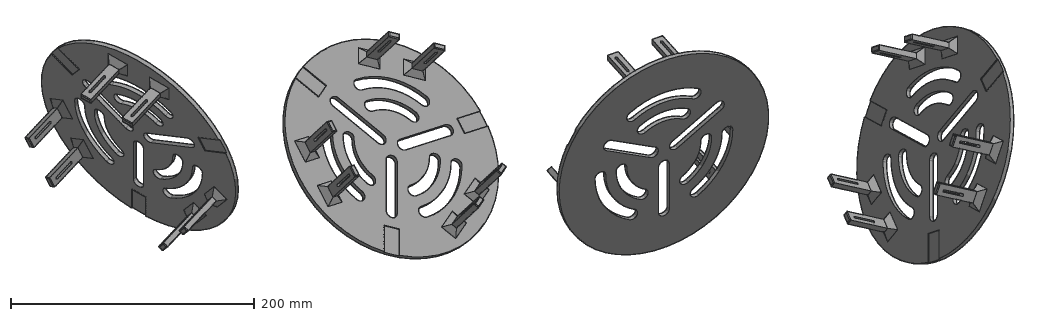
import cadquery as cq
import math

plate_radius = 99.0
plate_thickness = 4.0
sector_angles = (0, 120, 240)

vent_width = 10.0
arc_slot_radii = (40.0, 60.0)
arc_slot_half_angle = math.radians(30)
spoke_inner_end = 7.0
spoke_outer_end = max(arc_slot_radii) + vent_width / 2

recess_width = 14.0
recess_inner_end = 74.0
recess_depth = 1.0

post_length = 45.0
post_width = 10.0
post_thickness = 5.0
post_offset = 21.0
post_distance = 78.6
tip_chamfer = 0.8

foot_width = 20.0
foot_thickness = 15.0
foot_height = 5.1

slit_width = 2.0
slit_shift = 0.4
slit_start = 17.2
slit_length = 21.5


def front_plane(x=0, z=0):
    """Workplane on the front face: local x is +X, local y is +Z, normal is -Y."""
    return cq.Workplane("XZ", origin=(x, 0, z))


def around_axis(shape, angle):
    """Turn a shape about the axis of the plate."""
    return shape.rotate((0, 0, 0), (0, 1, 0), angle)


def arc_slot(radius):
    """Cutter for an arc slot centred on the +Z sector axis."""

    def polar(distance, angle):
        return (distance * math.sin(angle), distance * math.cos(angle))

    outer = radius + vent_width / 2
    inner = radius - vent_width / 2
    left, right = -arc_slot_half_angle, arc_slot_half_angle
    return (
        front_plane()
        .moveTo(*polar(outer, left))
        .threePointArc((0, outer), polar(outer, right))
        .tangentArcPoint(polar(inner, right), relative=False)
        .threePointArc((0, inner), polar(inner, left))
        .tangentArcPoint(polar(outer, left), relative=False)
        .close()
        .extrude(-plate_thickness)
    )


def spoke_slot():
    """Cutter for the straight slot running down from the centre."""
    middle = (spoke_inner_end + spoke_outer_end) / 2
    length = spoke_outer_end - spoke_inner_end
    return front_plane(z=-middle).slot2D(length, vent_width, 90).extrude(-plate_thickness)


def rim_recess():
    """Cutter for the recess below the straight slot, running out past the edge."""
    length = plate_radius - recess_inner_end
    middle = recess_inner_end + length / 2
    return front_plane(z=-middle).rect(recess_width, length).extrude(-recess_depth)


def post(side):
    """Slit post on its tapered foot, at +X (side 1) or -X (side -1) of the +Z axis."""
    post_x = side * post_offset
    shaft = (
        front_plane(post_x, post_distance)
        .rect(post_width, post_thickness)
        .extrude(post_length)
        .faces("<Y")
        .chamfer(tip_chamfer)
    )
    foot = (
        front_plane(post_x, post_distance)
        .rect(foot_width, foot_thickness)
        .workplane(offset=foot_height)
        .rect(post_width, post_thickness)
        .loft()
    )
    slit_x = side * (post_offset + slit_shift)
    slit_y = -(slit_start + slit_length / 2)
    slit = (
        cq.Workplane("XY", origin=(slit_x, slit_y, post_distance))
        .slot2D(slit_length, slit_width, 90)
        .extrude(post_thickness, both=True)
    )
    return shaft.union(foot).cut(slit)


plate = front_plane().circle(plate_radius).extrude(-plate_thickness)

cutters = [arc_slot(radius) for radius in arc_slot_radii]
cutters += [spoke_slot(), rim_recess()]
posts = [post(side) for side in (-1, 1)]

result = plate
for angle in sector_angles:
    for cutter in cutters:
        result = result.cut(around_axis(cutter, angle))
    for single_post in posts:
        result = result.union(around_axis(single_post, angle))